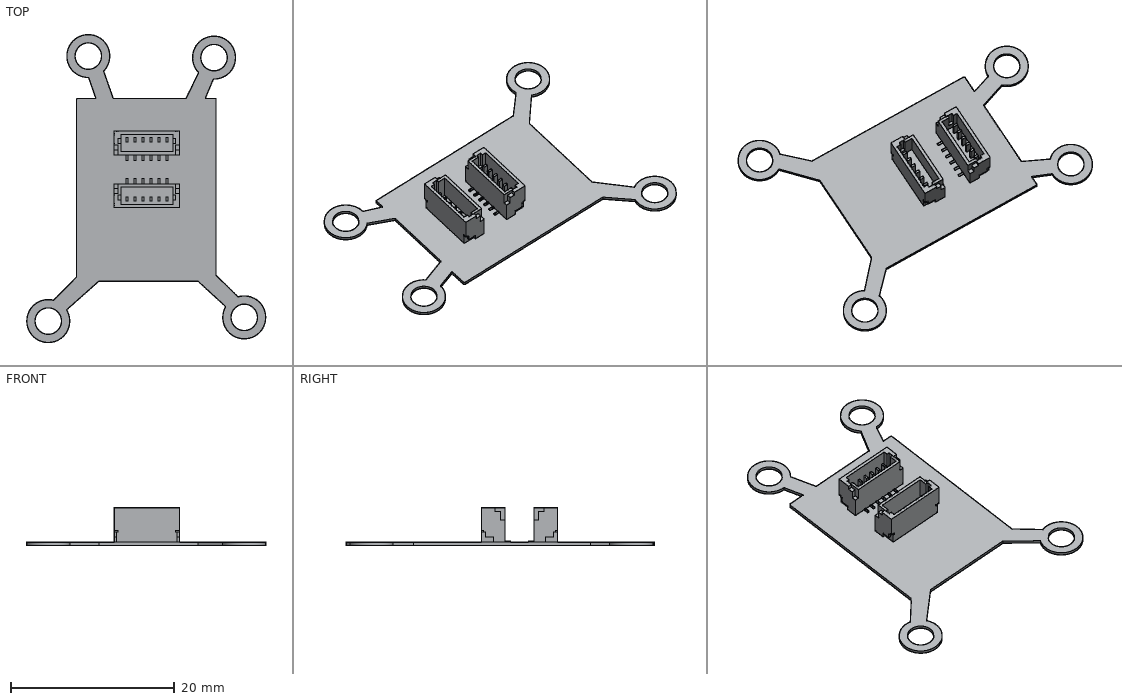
import cadquery as cq

board_thickness = 0.4
board_width = 17.1
board_bottom_y = -11.35
board_top_y = 11.05
board_corner_radius = 0.2
board_right_x = board_width / 2
board_left_x = -board_right_x

ring_diameter = 5.3
hole_diameter = 3.2
ring_reach_x = 12.0
top_left_ring = (-7.1, 16.25)
top_right_ring = (8.3, 16.05)
bottom_left_ring = (-ring_reach_x, -16.25)
bottom_right_ring = (ring_reach_x, -15.8)

top_left_arm = [(-6.2, board_top_y), (-4.05, board_top_y), (-5.32, 14.73), (-7.25, 14.12)]
top_right_arm = [(4.87, board_top_y), (7.25, board_top_y), (8.45, 13.95), (6.6, 14.6)]
bottom_left_arm = [(board_left_x, -10.85), (-5.8, board_bottom_y), (-9.9, -15.0), (-11.4, -13.7)]
bottom_right_arm = [(board_right_x, -10.6), (6.35, board_bottom_y), (9.95, -14.7), (11.45, -13.45)]

connector_x = 0.08
upper_connector_y = 5.6
lower_connector_y = -0.85
housing_width = 8.0
housing_depth = 2.9
housing_height = 4.23
cavity_width = 6.35
cavity_depth = 2.1
cavity_floor = 1.0
end_x = housing_width / 2
front_y = -housing_depth / 2
back_y = housing_depth / 2

upper_notch_width = 0.5
upper_notch_steps = [(0.55, 1.5), (1.2, 0.5)]

lower_notch_width = 0.3
lower_notch_steps = [(0.5, 1.25), (1.5, 0.6)]

slit_width = 0.5
slit_depth = 0.25
slit_height = 0.2
slit_bottom = 1.25

groove_depth = 0.35
groove_height = 2.25
groove_width = 0.6
groove_from_back = 1.2

contact_count = 6
contact_pitch = 1.0
contact_width = 0.25
pin_depth = 0.53
pin_from_back = 1.05
pin_below_rim = 1.3
lead_length = 0.68
lead_height = 0.1


def block(x_range, y_range, z_range):
    """Box spanning the given (low, high) ranges."""
    lows, highs = zip(x_range, y_range, z_range)
    sizes = [high - low for low, high in zip(lows, highs)]
    return cq.Workplane("XY").box(*sizes, centered=False).translate(lows)


def both_ends(shape):
    """The shape together with its mirror image across the YZ plane."""
    return shape.union(shape.mirror("YZ"))


def around(center, size):
    """Range of the given size centred on a coordinate."""
    return (center - size / 2, center + size / 2)


def make_board():
    plate = block((board_left_x, board_right_x), (board_bottom_y, board_top_y), (0, board_thickness))
    plate = plate.edges("|Z and <X and >Y").fillet(board_corner_radius)
    rings = [top_left_ring, top_right_ring, bottom_left_ring, bottom_right_ring]

    for arm in [top_left_arm, top_right_arm, bottom_left_arm, bottom_right_arm]:
        plate = plate.union(cq.Workplane("XY").polyline(arm).close().extrude(board_thickness))

    discs = cq.Workplane("XY").pushPoints(rings).circle(ring_diameter / 2).extrude(board_thickness)
    holes = cq.Workplane("XY").pushPoints(rings).circle(hole_diameter / 2).extrude(board_thickness)
    return plate.union(discs).cut(holes)


def make_housing():
    housing = block((-end_x, end_x), (front_y, back_y), (0, housing_height))
    housing = housing.cut(
        block(around(0, cavity_width), around(0, cavity_depth), (cavity_floor, housing_height))
    )

    for length, depth in upper_notch_steps:
        notch = block(
            (end_x - upper_notch_width, end_x),
            (front_y, front_y + length),
            (housing_height - depth, housing_height),
        )
        housing = housing.cut(both_ends(notch))

    for length, height in lower_notch_steps:
        notch = block((end_x - lower_notch_width, end_x), (back_y - length, back_y), (0, height))
        housing = housing.cut(both_ends(notch))

    slit = block(
        (end_x - slit_width, end_x),
        (back_y - slit_depth, back_y),
        (slit_bottom, slit_bottom + slit_height),
    )
    groove = block(
        (cavity_width / 2, cavity_width / 2 + groove_depth),
        around(back_y - groove_from_back, groove_width),
        (housing_height - groove_height, housing_height),
    )
    return housing.cut(both_ends(slit)).cut(both_ends(groove))


def make_connector():
    connector = make_housing()
    for index in range(contact_count):
        contact_x = (index - (contact_count - 1) / 2) * contact_pitch
        x_range = around(contact_x, contact_width)
        pin = block(x_range, around(back_y - pin_from_back, pin_depth), (0, housing_height - pin_below_rim))
        lead = block(x_range, (front_y - lead_length, 0), (0, lead_height))
        connector = connector.union(pin).union(lead)
    return connector


connector = make_connector()
upper_connector = connector.translate((connector_x, upper_connector_y, board_thickness))
lower_connector = connector.rotate((0, 0, 0), (0, 0, 1), 180).translate(
    (connector_x, lower_connector_y, board_thickness)
)
result = make_board().union(upper_connector).union(lower_connector)